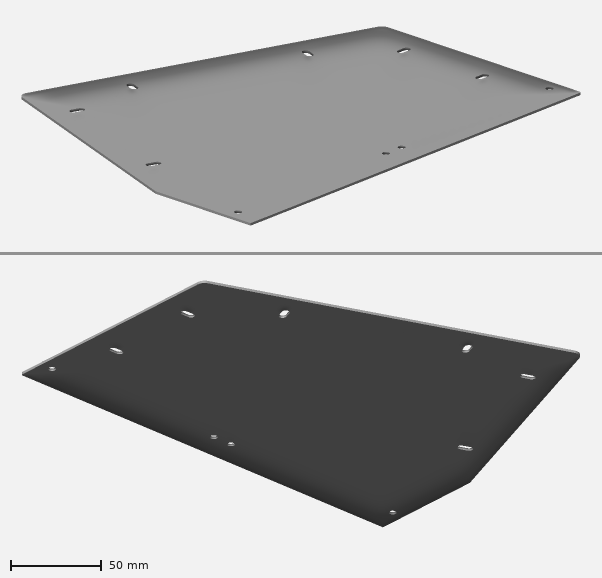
import cadquery as cq
import math

width = 231.2
height = 276.5
thickness = 1.5
lean = 20.0
right_corner_y = 24.3
corner_radius = 5.0
tip_radius = 1.0

hole_diameter = 4.5
hole_inset = 16.5
end_hole_spacing = 253.0
middle_hole_spacing = 12.7

slot_length = 9.0
slot_width = 4.5
slot_inset = 18.0
top_slot_inset = 19.5
left_slot_heights = (61.5, 170.0)
bottom_slot_positions = (36.0, 127.2)
top_slot_distances = (33.5, 92.0)

slope = math.tan(math.radians(lean))

tip_loss = tip_radius * (math.sqrt(2) * math.cos(math.radians(45 - lean)) - 1)
tip_y = height + tip_loss
tip_x = width - (tip_y - right_corner_y) * slope
left_corner_y = tip_y - tip_x * slope
bottom_corner_x = width - right_corner_y / slope
right_edge_length = math.hypot(width - tip_x, tip_y - right_corner_y)


def make_plate():
    outline = [
        (0, 0),
        (bottom_corner_x, 0),
        (width, right_corner_y),
        (tip_x, tip_y),
        (0, left_corner_y),
    ]
    plate = cq.Workplane("XY").polyline(outline).close().extrude(thickness)
    plate = plate.edges("|Z and <X").fillet(corner_radius)
    return plate.edges("|Z and >Y").fillet(tip_radius)


def edge_frame(start_x, start_y, direction):
    """Workplane at an edge's start, with local X running along the edge."""
    angle = math.radians(direction)
    along = (math.cos(angle), math.sin(angle), 0)
    return cq.Workplane(cq.Plane(origin=(start_x, start_y, 0), xDir=along, normal=(0, 0, 1)))


def slots(frame, distances, offset):
    """Cutters for slots at given distances along an edge and one offset from it."""
    points = [(distance, offset) for distance in distances]
    return frame.pushPoints(points).slot2D(slot_length, slot_width, 90).extrude(thickness)


def edge_holes():
    middle = right_edge_length / 2
    points = [
        (middle + side * spacing / 2, hole_inset)
        for spacing in (end_hole_spacing, middle_hole_spacing)
        for side in (-1, 1)
    ]
    frame = edge_frame(width, right_corner_y, 90 + lean)
    return frame.pushPoints(points).circle(hole_diameter / 2).extrude(thickness)


bottom_slots = slots(edge_frame(0, 0, 0), bottom_slot_positions, slot_inset)
left_slots = slots(edge_frame(0, 0, 90), left_slot_heights, -slot_inset)
top_slots = slots(edge_frame(0, left_corner_y, lean), top_slot_distances, -top_slot_inset)

result = make_plate().cut(edge_holes()).cut(bottom_slots).cut(left_slots).cut(top_slots)